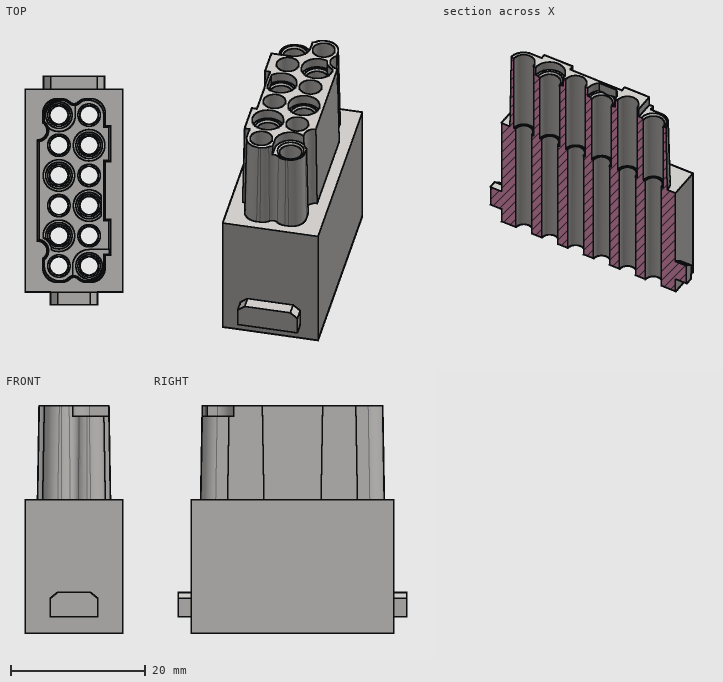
import cadquery as cq
import math

body_width = 14.6
body_length = 30.28
body_height = 19.95
total_length = 34.1
total_height = 34.0
tower_height = total_height - body_height

lug_reach = (total_length - body_length) / 2
lug_bottom = 2.5
lug_top = 6.15
lug_chamfer_width = 1.1
lug_chamfer_height = 0.9
front_lug_width = 7.05
back_lug_width = 9.15

tower_half_width = 4.67
tower_half_length = 13.7
flange_half_width = 5.45
flange_inner_y = 4.25
flange_outer_y = 9.7
corner_radius = 2.2
dip_flat_end_x = 1.9
dip_shoulder_radius = 1.88
dip_radius = 0.85
notch_y = 8.97
notch_radius = 1.43
draft_inset = 0.25

pitch = 4.5
column_count = 2
row_count = 6
contact_radius = 1.35
bore_radius = 1.67
counterbore_radius = 2.35
counterbore_depth = 1.57
lead_in_radius = 1.98
lead_in_depth = lead_in_radius - bore_radius
last_row = row_count - 1
wide_wall = 0.38
notch_wall = 0.45

seat_radius = 2.45

column_x = pitch / 2
end_row_y = pitch * last_row / 2
seat_z = total_height - counterbore_depth


def bore_position(column, row):
    """Centre of a bore; column 0 is at -X and row 0 at -Y."""
    x = (column - (column_count - 1) / 2) * pitch
    y = (row - last_row / 2) * pitch
    return x, y


def has_counterbore(column, row):
    return (column + row) % 2 == 1


def lug(width, side):
    """Lug with chamfered upper corners, on the end face at Y sign `side`."""
    half = width / 2
    shoulder_x = half - lug_chamfer_width
    shoulder_z = lug_top - lug_chamfer_height
    profile = [
        (-half, lug_bottom),
        (half, lug_bottom),
        (half, shoulder_z),
        (shoulder_x, lug_top),
        (-shoulder_x, lug_top),
        (-half, shoulder_z),
    ]
    return (
        cq.Workplane("XZ", origin=(0, side * body_length / 2, 0))
        .polyline(profile)
        .close()
        .extrude(-side * lug_reach)
    )


def tower_outline(plane, inset):
    """Tower cross-section, moved inward by `inset` from its base size."""
    half_width = tower_half_width - inset
    half_length = tower_half_length - inset
    flange_x = flange_half_width - inset
    flange_low = flange_inner_y + inset
    flange_high = flange_outer_y - inset
    corner_x = half_width - corner_radius
    corner_y = half_length - corner_radius
    corner_mid = corner_radius * math.sqrt(0.5)

    shoulder = dip_shoulder_radius - inset
    hollow = dip_radius + inset
    shoulder_y = half_length - shoulder
    dip_angle = math.acos(dip_flat_end_x / (shoulder + hollow))
    dip_edge_x = hollow * math.cos(dip_angle)
    dip_edge_y = shoulder_y + shoulder * math.sin(dip_angle)
    dip_bottom_y = dip_edge_y + hollow * (math.sin(dip_angle) - 1)
    shoulder_angle = (dip_angle + math.pi / 2) / 2
    shoulder_mid_x = dip_flat_end_x - shoulder * math.cos(shoulder_angle)
    shoulder_mid_y = shoulder_y + shoulder * math.sin(shoulder_angle)

    notch = notch_radius + inset
    notch_outer_y = notch_y + math.sqrt(notch**2 - (flange_half_width - half_width) ** 2)
    notch_inner_y = notch_y - math.sqrt(notch**2 - inset**2)
    notch_deep_x = notch - flange_half_width

    def end_edge(wire, direction, side):
        """Trace one end from the `direction` X side across to the other; `side` is the Y sign."""
        near = direction
        far = -direction
        return (
            wire.lineTo(near * half_width, side * corner_y)
            .threePointArc(
                (near * (corner_x + corner_mid), side * (corner_y + corner_mid)),
                (near * corner_x, side * half_length),
            )
            .lineTo(near * dip_flat_end_x, side * half_length)
            .threePointArc(
                (near * shoulder_mid_x, side * shoulder_mid_y),
                (near * dip_edge_x, side * dip_edge_y),
            )
            .threePointArc((0, side * dip_bottom_y), (far * dip_edge_x, side * dip_edge_y))
            .threePointArc(
                (far * shoulder_mid_x, side * shoulder_mid_y),
                (far * dip_flat_end_x, side * half_length),
            )
            .lineTo(far * corner_x, side * half_length)
            .threePointArc(
                (far * (corner_x + corner_mid), side * (corner_y + corner_mid)),
                (far * half_width, side * corner_y),
            )
        )

    wire = (
        plane.moveTo(half_width, -flange_low)
        .lineTo(half_width, flange_low)
        .lineTo(flange_x, flange_low)
        .lineTo(flange_x, flange_high)
        .lineTo(half_width, flange_high)
    )
    wire = (
        end_edge(wire, 1, 1)
        .lineTo(-half_width, notch_outer_y)
        .threePointArc((notch_deep_x, notch_y), (-flange_x, notch_inner_y))
        .lineTo(-flange_x, -notch_inner_y)
        .threePointArc((notch_deep_x, -notch_y), (-half_width, -notch_outer_y))
    )
    return (
        end_edge(wire, -1, -1)
        .lineTo(half_width, -flange_high)
        .lineTo(flange_x, -flange_high)
        .lineTo(flange_x, -flange_low)
        .close()
    )


def tower():
    """Drafted tower, narrowing from the body to its top."""
    base = tower_outline(cq.Workplane("XY").workplane(offset=body_height), 0)
    top_plane = base.workplane(offset=tower_height)
    return tower_outline(top_plane, draft_inset).loft(ruled=True)


def cylinder(x, y, radius, bottom, top):
    return cq.Workplane("XY", origin=(x, y, bottom)).circle(radius).extrude(top - bottom)


def bore(column, row):
    """Through hole for a contact, with its wider bore inside the tower."""
    x, y = bore_position(column, row)
    through = cylinder(x, y, contact_radius, 0, total_height)
    return through.union(cylinder(x, y, bore_radius, body_height, total_height))


def counterbore(column, row):
    """Flat counterbore with a conical lead-in below its floor."""
    x, y = bore_position(column, row)
    lead_in = (
        cq.Workplane("XY", origin=(x, y, seat_z - lead_in_depth))
        .circle(bore_radius)
        .workplane(offset=lead_in_depth)
        .circle(lead_in_radius)
        .loft()
    )
    return lead_in.union(cylinder(x, y, counterbore_radius, seat_z, total_height))


def wall_keepers():
    """Material that trims the counterbores next to thin outer walls."""
    bottom = seat_z - lead_in_depth
    height = total_height - bottom
    wall_x = tower_half_width - draft_inset - wide_wall
    straight = (
        cq.Workplane("XY", origin=(0, 0, bottom))
        .center(wall_x, -flange_inner_y)
        .rect(flange_half_width - wall_x, 2 * flange_inner_y, centered=False)
        .extrude(height)
    )
    keeper_radius = notch_radius + draft_inset + notch_wall
    return straight.union(cylinder(-flange_half_width, -notch_y, keeper_radius, bottom, total_height))


def seat_block(x_start, x_end, y_start, y_end):
    return (
        cq.Workplane("XY", origin=(x_start, y_start, seat_z))
        .rect(x_end - x_start, y_end - y_start, centered=False)
        .extrude(counterbore_depth)
    )


def back_seat():
    """Lowered seat at the -X, +Y corner: round, opening toward the end."""
    inner_x = seat_radius - column_x
    opening = seat_block(-flange_half_width, inner_x, end_row_y, tower_half_length)
    return opening.union(cylinder(-column_x, end_row_y, seat_radius, seat_z, total_height))


def front_seat():
    """Lowered seat at the +X, -Y corner: open to both sides, one rounded inner corner."""
    inner_x = column_x - seat_radius
    inner_y = seat_radius - end_row_y
    seat = seat_block(inner_x, flange_half_width, -tower_half_length, inner_y)
    return seat.edges("|Z and <X and >Y").fillet(seat_radius)


result = cq.Workplane("XY").box(body_width, body_length, body_height, centered=(True, True, False))
result = result.union(tower())
result = result.union(lug(front_lug_width, -1)).union(lug(back_lug_width, 1))

result = result.cut(back_seat()).cut(front_seat())
keepers = wall_keepers()
for column in range(column_count):
    for row in range(row_count):
        result = result.cut(bore(column, row))
        if has_counterbore(column, row):
            result = result.cut(counterbore(column, row).cut(keepers))